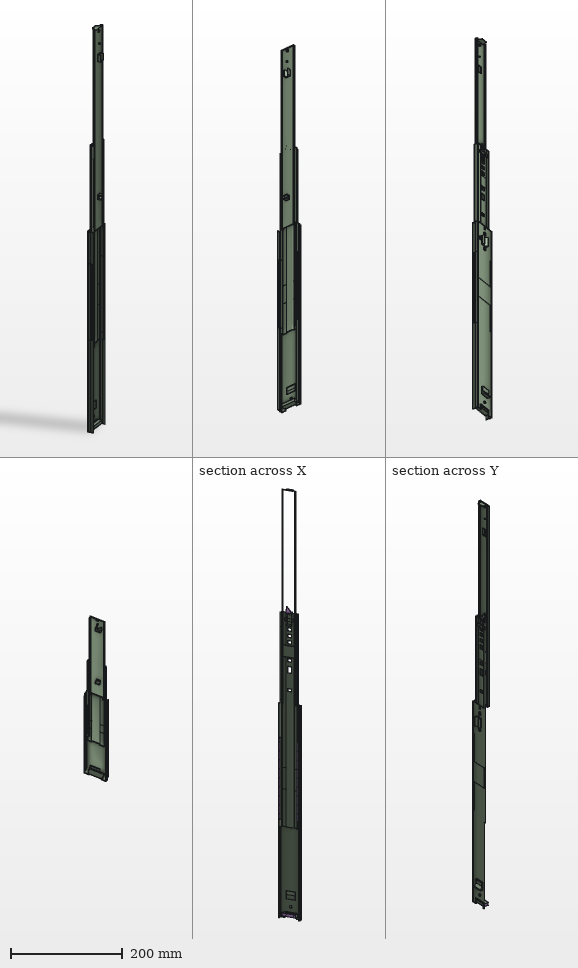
import cadquery as cq


SHEET = 1.2
RAIL_LENGTH = 400.0
RAIL_FRONT = 6.0
CLIP_REACH = 10.8
CLIP_LIP = 2.0

OUTER_BACK = -6.0
OUTER_WIDTH = 43.0
OUTER_RACE = (-4.0, 1.0)
OUTER_RACE_BULGE = 1.0
OUTER_TOP = 0.0
OUTER_BOTTOM = OUTER_TOP - RAIL_LENGTH

MIDDLE_BACK = -4.0
MIDDLE_WIDTH = 34.0
MIDDLE_RACE = (-1.0, 5.0)
MIDDLE_RACE_BULGE = 2.0
MIDDLE_TOP = 170.0
MIDDLE_BOTTOM = MIDDLE_TOP - RAIL_LENGTH
TROUGH_DEPTH = 2.0
TROUGH_BACK = MIDDLE_BACK + TROUGH_DEPTH
TROUGH_FRONT = TROUGH_BACK + SHEET
TROUGH_MOUTH_WIDTH = 18.0
TROUGH_FLOOR_WIDTH = 11.0
TROUGH_FILLET = 2.0

INNER_BACK = 1.0
INNER_WIDTH = 29.0
INNER_FLANGE = 2.0
INNER_RACE = (2.0, 4.0)
INNER_RACE_BULGE = -1.0
INNER_TOP = OUTER_TOP + RAIL_LENGTH
INNER_BOTTOM = INNER_TOP - RAIL_LENGTH


def box(x_range, y_range, z_range):
    """Box between two limits on each axis."""
    size = [high - low for low, high in (x_range, y_range, z_range)]
    corner = (x_range[0], y_range[0], z_range[0])
    return cq.Workplane("XY").box(*size, centered=False).translate(corner)


def centered_box(x_range, width, z_range):
    """Box that is symmetric about Y = 0."""
    return box(x_range, (-width / 2, width / 2), z_range)


def prism(points, z_range):
    """XY outline extruded along Z."""
    low, high = z_range
    return cq.Workplane("XY").workplane(offset=low).polyline(points).close().extrude(high - low)


def web_disc(x_range, diameter, z):
    """Disc along X on the centre line, used as a hole or a boss in a web."""
    low, high = x_range
    disc = cq.Workplane("YZ").workplane(offset=low).center(0, z).circle(diameter / 2)
    return disc.extrude(high - low)


def channel(width, web_x, open_x, flange, race, bulge, z_range):
    """Channel rail: a flat web at web_x and two flanges, each with a bowed ball race."""
    low, high = z_range
    start, end = race
    middle = (start + end) / 2
    outside = width / 2
    inside = outside - flange
    web_inside = web_x + SHEET if open_x > web_x else web_x - SHEET
    if open_x < web_x:
        start, end = end, start
    half = (
        cq.Workplane("XY").workplane(offset=low)
        .moveTo(web_x, 0)
        .lineTo(web_x, outside)
        .lineTo(start, outside)
        .threePointArc((middle, outside + bulge), (end, outside))
        .lineTo(open_x, outside)
        .lineTo(open_x, inside)
        .lineTo(end, inside)
        .threePointArc((middle, inside + bulge), (start, inside))
        .lineTo(web_inside, inside)
        .lineTo(web_inside, 0)
        .close()
        .extrude(high - low)
    )
    return half.union(half.mirror("XZ")).clean()


def clip_outline(web_inside, web_face, valley_x, ends, tips):
    """V-shaped clip as (X, position) points: two tips stand out of the web, the back is a shallow ridge."""
    low, high = ends
    low_tip, high_tip = tips
    middle = (low + high) / 2
    root = (web_inside + web_face) / 2
    return [(root, low), (low_tip, low), (low_tip, low + CLIP_LIP), (valley_x, middle),
            (high_tip, high - CLIP_LIP), (high_tip, high), (root, high), (web_inside, middle)]


def stacked_clip(outline, width):
    """Clip whose two tips lie one above the other in Z."""
    return cq.Workplane("XZ").polyline(outline).close().extrude(width / 2, both=True)


def add_clip(rail, web, window_y, window_z, clip):
    """Cut the window of a clip through the web and join the clip to its edges."""
    return rail.cut(box(web, window_y, window_z)).union(clip)


OUTER_WEB = (OUTER_BACK, OUTER_BACK + SHEET)
TOP_NOTCH_WIDTH = 4.0
TOP_NOTCH_DEPTH = 7.0
OUTER_HOLES = [(7.0, -17.0), (6.0, -49.0), (5.0, -378.0)]
SIDE_CLIP_Y = (-4.0, 9.0)
SIDE_CLIP_Z = (-43.0, -25.0)
SIDE_BOSS_Y = (14.0, 18.0)
SIDE_BOSS_Z = (-37.0, -30.0)
SIDE_BOSS_HEIGHT = 1.0
LOW_CLIP_Y = (-10.0, 10.0)
LOW_CLIP_Z = (-365.0, -350.0)
LOW_CLIP_UPPER_TIP = -9.0
LOW_CLIP_VALLEY = -7.0
END_NOTCH_WIDTH = 24.0
END_NOTCH_HEIGHT = 11.0


def make_outer_rail():
    rail = channel(OUTER_WIDTH, OUTER_BACK, RAIL_FRONT, SHEET, OUTER_RACE, OUTER_RACE_BULGE,
                   (OUTER_BOTTOM, OUTER_TOP))
    rail = rail.cut(centered_box(OUTER_WEB, TOP_NOTCH_WIDTH, (OUTER_TOP - TOP_NOTCH_DEPTH, OUTER_TOP)))
    rail = rail.cut(centered_box(OUTER_WEB, END_NOTCH_WIDTH, (OUTER_BOTTOM, OUTER_BOTTOM + END_NOTCH_HEIGHT)))
    for diameter, z in OUTER_HOLES:
        rail = rail.cut(web_disc(OUTER_WEB, diameter, z))
    rail = rail.union(box((OUTER_BACK - SIDE_BOSS_HEIGHT, OUTER_BACK), SIDE_BOSS_Y, SIDE_BOSS_Z))
    web_inside = OUTER_WEB[1]
    side = clip_outline(web_inside, OUTER_BACK, OUTER_BACK, SIDE_CLIP_Y, (-CLIP_REACH, -CLIP_REACH))
    rail = add_clip(rail, OUTER_WEB, SIDE_CLIP_Y, SIDE_CLIP_Z, prism(side, SIDE_CLIP_Z))
    low = clip_outline(web_inside, OUTER_BACK, LOW_CLIP_VALLEY, LOW_CLIP_Z, (-CLIP_REACH, LOW_CLIP_UPPER_TIP))
    low_width = LOW_CLIP_Y[1] - LOW_CLIP_Y[0]
    return add_clip(rail, OUTER_WEB, LOW_CLIP_Y, LOW_CLIP_Z, stacked_clip(low, low_width))


TROUGH_FLOOR = (TROUGH_BACK, TROUGH_FRONT)
WINDOW_WIDTH = 8.0
TROUGH_WINDOWS = [(137.0, 142.0), (125.0, 130.0), (113.0, 118.0), (79.0, 85.0), (58.0, 70.0), (24.0, 29.0)]
STOPPER_WINDOW = (150.0, 167.0)
EAR_SPAN = 23.0
EAR_Z = (154.0, 160.0)


def make_trough(mouth_x, mouth_width, floor_x, floor_width):
    """Tapered bar along the middle rail, with rounded edges at its floor."""
    outline = [(mouth_x, mouth_width / 2), (floor_x, floor_width / 2),
               (floor_x, -floor_width / 2), (mouth_x, -mouth_width / 2)]
    bar = prism(outline, (MIDDLE_BOTTOM, MIDDLE_TOP))
    return bar.edges("|Z and >X").fillet(TROUGH_FILLET)


def make_middle_rail():
    rail = channel(MIDDLE_WIDTH, MIDDLE_BACK, RAIL_FRONT, SHEET, MIDDLE_RACE, MIDDLE_RACE_BULGE,
                   (MIDDLE_BOTTOM, MIDDLE_TOP))
    wall = 2 * SHEET
    rail = rail.union(make_trough(MIDDLE_BACK, TROUGH_MOUTH_WIDTH + wall,
                                  TROUGH_FRONT, TROUGH_FLOOR_WIDTH + wall))
    rail = rail.cut(make_trough(MIDDLE_BACK, TROUGH_MOUTH_WIDTH, TROUGH_BACK, TROUGH_FLOOR_WIDTH))
    for window in TROUGH_WINDOWS + [STOPPER_WINDOW]:
        rail = rail.cut(centered_box(TROUGH_FLOOR, WINDOW_WIDTH, window))
    return rail.cut(centered_box((MIDDLE_BACK, TROUGH_BACK), EAR_SPAN, EAR_Z))


INNER_WEB = (RAIL_FRONT - SHEET, RAIL_FRONT)
END_TAB_BACK = -5.0
END_TAB_ROOT_WIDTH = 21.0
END_TAB_TIP_WIDTH = 13.0
TOP_HOLE_DIAMETER = 5.0
TOP_HOLE_Z = 394.0
DIMPLE_DIAMETER = 3.0
DIMPLE_Z = 369.0
DIMPLE_HEIGHT = 2.0
HIGH_CLIP_Y = (-4.0, 6.0)
HIGH_CLIP_Z = (334.0, 348.0)
STOP_CLIP_Y = (-4.0, 4.0)
STOP_CLIP_Z = (59.0, 68.0)


def make_inner_rail():
    rail = channel(INNER_WIDTH, RAIL_FRONT, INNER_BACK, INNER_FLANGE, INNER_RACE, INNER_RACE_BULGE,
                   (INNER_BOTTOM, INNER_TOP))
    tab = [(INNER_WEB[0], END_TAB_ROOT_WIDTH / 2), (END_TAB_BACK, END_TAB_TIP_WIDTH / 2),
           (END_TAB_BACK, -END_TAB_TIP_WIDTH / 2), (INNER_WEB[0], -END_TAB_ROOT_WIDTH / 2)]
    rail = rail.union(prism(tab, (INNER_TOP - SHEET, INNER_TOP)))
    rail = rail.cut(web_disc(INNER_WEB, TOP_HOLE_DIAMETER, TOP_HOLE_Z))
    rail = rail.union(web_disc((RAIL_FRONT, RAIL_FRONT + DIMPLE_HEIGHT), DIMPLE_DIAMETER, DIMPLE_Z))
    rail = rail.cut(web_disc(INNER_WEB, DIMPLE_DIAMETER / 2, DIMPLE_Z))
    tips = (CLIP_REACH, CLIP_REACH)
    high = clip_outline(INNER_WEB[0], RAIL_FRONT, RAIL_FRONT, HIGH_CLIP_Y, tips)
    rail = add_clip(rail, INNER_WEB, HIGH_CLIP_Y, HIGH_CLIP_Z, prism(high, HIGH_CLIP_Z))
    stop = clip_outline(INNER_WEB[0], RAIL_FRONT, RAIL_FRONT, STOP_CLIP_Z, tips)
    stop_width = STOP_CLIP_Y[1] - STOP_CLIP_Y[0]
    return add_clip(rail, INNER_WEB, STOP_CLIP_Y, STOP_CLIP_Z, stacked_clip(stop, stop_width))


STEM_X = (TROUGH_FRONT, INNER_BACK)
STEM_WIDTH = 11.0
STEM_BOTTOM = 146.0
HEAD_X = (-2.0, 3.0)
HEAD_TOP = 173.0
HEAD_WIDTH = 12.0
TONGUE_X = (2.0, 3.0)
TONGUE_TOP = 183.0


def make_stopper():
    stopper = centered_box(STEM_X, STEM_WIDTH, (STEM_BOTTOM, MIDDLE_TOP))
    stopper = stopper.union(centered_box(HEAD_X, HEAD_WIDTH, (MIDDLE_TOP, HEAD_TOP)))
    stopper = stopper.union(centered_box(TROUGH_FLOOR, WINDOW_WIDTH, EAR_Z))
    stopper = stopper.union(centered_box((MIDDLE_BACK, TROUGH_BACK), EAR_SPAN, EAR_Z))
    tongue = [(HEAD_WIDTH / 2, HEAD_TOP), (-HEAD_WIDTH / 2, HEAD_TOP), (-HEAD_WIDTH / 3, TONGUE_TOP)]
    wedge = cq.Workplane("YZ").workplane(offset=TONGUE_X[0]).polyline(tongue).close()
    return stopper.union(wedge.extrude(TONGUE_X[1] - TONGUE_X[0]))


BUMPER_Z = (-396.0, -390.0)
BUMPER_BASE_X = (OUTER_WEB[1], 3.0)
BUMPER_BASE_WIDTH = 29.0
BUMPER_FACE_TOP = -391.0


def make_bumper():
    base = centered_box(BUMPER_BASE_X, BUMPER_BASE_WIDTH, BUMPER_Z)
    face = centered_box(OUTER_WEB, END_NOTCH_WIDTH, (BUMPER_Z[0], BUMPER_FACE_TOP))
    return base.union(face)


CAGE_FRONT = 3.0
OUTER_CAGE_Z = (-216.0, -64.0)
OUTER_BRIDGE_Z = (-160.0, -120.0)
INNER_CAGE_Z = (8.0, 144.0)
INNER_BRIDGE_Z = (88.0, 110.0)


def make_ball_cage(back, front, inside_width, outside_width, strip_z, bridge_z):
    """Two strips that run between the flanges, joined by a thin bridge between the webs."""
    strips = centered_box((back, CAGE_FRONT), outside_width, strip_z)
    strips = strips.cut(centered_box((back, CAGE_FRONT), inside_width, strip_z))
    return strips.union(centered_box((back, front), outside_width, bridge_z))


outer_rail = make_outer_rail()
middle_rail = make_middle_rail()
inner_rail = make_inner_rail()
stopper = make_stopper()
bumper = make_bumper()
outer_cage = make_ball_cage(OUTER_WEB[1], MIDDLE_BACK,
                            MIDDLE_WIDTH + 2 * MIDDLE_RACE_BULGE, OUTER_WIDTH - 2 * SHEET,
                            OUTER_CAGE_Z, OUTER_BRIDGE_Z)
inner_cage = make_ball_cage(TROUGH_FRONT, INNER_BACK, INNER_WIDTH, MIDDLE_WIDTH - 2 * SHEET,
                            INNER_CAGE_Z, INNER_BRIDGE_Z)

bodies = [outer_rail, middle_rail, inner_rail, stopper, bumper, outer_cage, inner_cage]
result = cq.Compound.makeCompound([body.solids().val() for body in bodies])